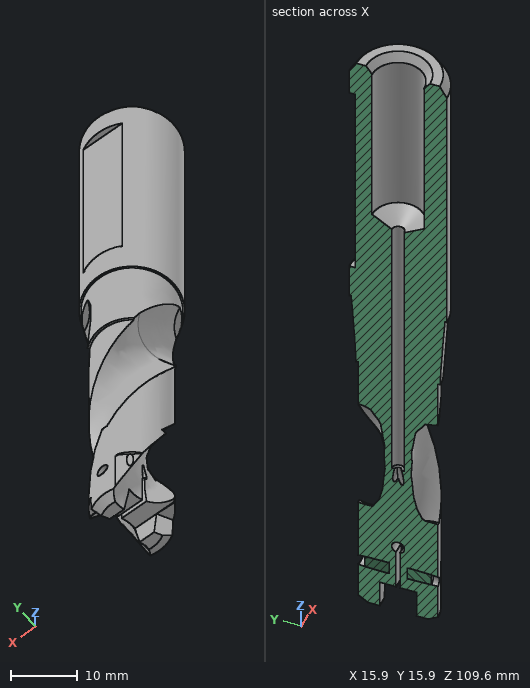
import cadquery as cq
import math


total_length = 109.63
shank_start = 61.7
neck_start = 48.6
slot_floor = 4.8

shank_radius = 15.88 / 2
neck_top_radius = 7.65
neck_bottom_radius = 6.85
body_radius = 6.5
shank_chamfer_length = 2.0
shank_chamfer_depth = shank_chamfer_length * math.tan(math.radians(30))
tip_chamfer_length = 1.0
tip_chamfer_depth = 1.6

flat_bottom = 67.8
flat_top = 103.1
flat_depth = 0.95

bore_radius = 4.2
mouth_radius = 5.2
mouth_depth = 1.4
bore_depth = 30.0
drill_point_angle = 118.0
feed_radius = 1.0
outlet_radius = 0.5
outlet_slope = 17.0
outlet_exit_height = 9.0
outlet_direction = -54.0

waist_height = 48.3
flute_change = 20.0
flute_end = 50.0
upper_twist = 4.84
lower_twist = 4.07
core_radius = 2.2
upper_flute_half_angle = 50.3
lower_flute_half_angle = 42.0
runout_length = 9.3
runout_rise = 1.6
runout_lean = 41.0

slot_width = 5.94
slit_width = 0.6
slit_top = 12.95
slit_hole_radius = 1.0
jaw_face_angle = 27.0
jaw_face_taper = 5.0
jaw_corner_x = -3.6

outlet_flat_distance = 6.1
outlet_flat_top = 10.6
outlet_flat_corner = 0.8

screw_height = 8.25
screw_radius = 1.05
screw_outer_end = 5.4
screw_inner_end = 1.5

clearance = 5.0

half_turn = 180


def flute_angle(z):
    """Direction of the flute that points to +X at waist height."""
    if z >= flute_change:
        return (z - waist_height) * upper_twist
    return flute_angle(flute_change) - (flute_change - z) * lower_twist


def both_sides(shape):
    """The shape and its copy half a turn around the drill axis."""
    return [shape, shape.rotate((0, 0, 0), (0, 0, 1), half_turn)]


def turned_body():
    neck_and_shank = [
        (neck_bottom_radius, neck_start),
        (neck_top_radius, shank_start),
        (shank_radius, shank_start),
        (shank_radius, total_length - shank_chamfer_length),
        (shank_radius - shank_chamfer_depth, total_length),
    ]
    tip = [
        (0, 0),
        (body_radius - tip_chamfer_depth, 0),
        (body_radius, tip_chamfer_length),
        (body_radius, neck_start),
    ]
    outline = tip + neck_and_shank + [(0, total_length)]
    return cq.Workplane("XZ").polyline(outline).close().revolve(360, (0, 0), (0, 1))


def shank_flat():
    return (
        cq.Workplane("XY", origin=(0, shank_radius, flat_bottom))
        .rect(2 * shank_radius, 2 * flat_depth)
        .extrude(flat_top - flat_bottom)
    )


def outlet_start():
    """Height at which the slanted outlets leave the feed hole on the axis."""
    return outlet_exit_height + outlet_flat_distance / math.tan(math.radians(outlet_slope))


def coolant_supply():
    point_slope = math.tan(math.radians(drill_point_angle / 2))
    bore_bottom = total_length - bore_depth
    point_bottom = bore_bottom - (bore_radius - feed_radius) / point_slope
    outline = [
        (0, outlet_start()),
        (feed_radius, outlet_start()),
        (feed_radius, point_bottom),
        (bore_radius, bore_bottom),
        (bore_radius, total_length - mouth_depth),
        (mouth_radius, total_length),
        (0, total_length),
    ]
    return cq.Workplane("XZ").polyline(outline).close().revolve(360, (0, 0), (0, 1))


def coolant_outlet():
    length = (outlet_start() - outlet_exit_height) / math.cos(math.radians(outlet_slope))
    return (
        cq.Workplane("XY")
        .circle(outlet_radius)
        .extrude(-length - clearance)
        .rotate((0, 0, 0), (0, 1, 0), -outlet_slope)
        .rotate((0, 0, 0), (0, 0, 1), outlet_direction)
        .translate((0, 0, outlet_start()))
    )


def flute_circle(half_angle):
    """Radius and centre distance of the flute arc, from core to land edges."""
    edge_x = body_radius * math.cos(math.radians(half_angle))
    edge_y = body_radius * math.sin(math.radians(half_angle))
    depth = edge_x - core_radius
    radius = (edge_y**2 + depth**2) / (2 * depth)
    return radius, core_radius + radius


def twisted_flute(half_angle, bottom, top):
    radius, distance = flute_circle(half_angle)
    return (
        cq.Workplane("XY")
        .moveTo(distance, 0)
        .circle(radius)
        .twistExtrude(top - bottom, flute_angle(top) - flute_angle(bottom))
        .rotate((0, 0, 0), (0, 0, 1), flute_angle(bottom))
        .translate((0, 0, bottom))
    )


def flute_runout():
    """The flute leaves the body straight, leaning the way it turns and getting shallower."""
    radius, distance = flute_circle(upper_flute_half_angle)
    section = cq.Face.makeFromWires(
        cq.Wire.makeCircle(radius, cq.Vector(distance, 0, flute_end), cq.Vector(0, 0, 1))
    )
    sideways = runout_length * math.tan(math.radians(runout_lean))
    runout = cq.Solid.extrudeLinear(section, cq.Vector(runout_rise, sideways, runout_length))
    return cq.Workplane(runout).rotate((0, 0, 0), (0, 0, 1), flute_angle(flute_end))


def flute_cuts():
    upper = twisted_flute(upper_flute_half_angle, flute_change, flute_end)
    lower = twisted_flute(lower_flute_half_angle, -clearance, flute_change)
    return [upper, lower, flute_runout()]


def insert_slot():
    slot = cq.Workplane("XY").rect(4 * body_radius, slot_width).extrude(slot_floor)
    slit = cq.Workplane("XY").rect(4 * body_radius, slit_width).extrude(slit_top)
    slit_end = (
        cq.Workplane("YZ", origin=(-2 * body_radius, 0, slit_top))
        .circle(slit_hole_radius)
        .extrude(4 * body_radius)
    )
    return slot.union(slit).union(slit_end)


def jaw_relief():
    """Removes the side of the -Y jaw, leaving a face turned and tapered towards the tip."""
    corner_y = -math.sqrt(body_radius**2 - jaw_corner_x**2)
    block = 4 * body_radius
    relief = (
        cq.Workplane("XY")
        .rect(block, block)
        .extrude(-block)
        .translate((-block / 2, 0, 0))
        .rotate((0, 0, 0), (0, 1, 0), -jaw_face_taper)
        .rotate((0, 0, 0), (0, 0, 1), -jaw_face_angle)
        .translate((jaw_corner_x, corner_y, slot_floor))
    )
    front_tip = cq.Workplane("XY").rect(block, block).extrude(slot_floor).translate((0, -block / 2, 0))
    return relief.intersect(front_tip)


def outlet_flat():
    half_flat = math.sqrt(body_radius**2 - outlet_flat_distance**2)
    return (
        cq.Workplane("YZ", origin=(outlet_flat_distance, 0, 0))
        .rect(2 * half_flat, 2 * outlet_flat_top)
        .extrude(clearance)
        .edges("|X and >Z")
        .fillet(outlet_flat_corner)
        .rotate((0, 0, 0), (0, 0, 1), outlet_direction)
    )


def radial_cylinder(inner, outer):
    """Screw-sized cylinder along the middle of the -Y land."""
    land_direction = flute_angle(screw_height) + half_turn / 2
    return (
        cq.Workplane("YZ", origin=(inner, 0, screw_height))
        .circle(screw_radius)
        .extrude(outer - inner)
        .rotate((0, 0, 0), (0, 0, 1), land_direction)
    )


def make_holder():
    holder = turned_body().cut(shank_flat())
    paired_cuts = flute_cuts()
    paired_cuts += [jaw_relief(), outlet_flat(), coolant_outlet()]
    paired_cuts.append(radial_cylinder(screw_inner_end, body_radius + clearance))
    for cutter in paired_cuts:
        for side in both_sides(cutter):
            holder = holder.cut(side)
    return holder.cut(insert_slot()).cut(coolant_supply())


holder = make_holder()
set_screws = both_sides(radial_cylinder(screw_inner_end, screw_outer_end))

result = cq.Compound.makeCompound([holder.val()] + [screw.val() for screw in set_screws])